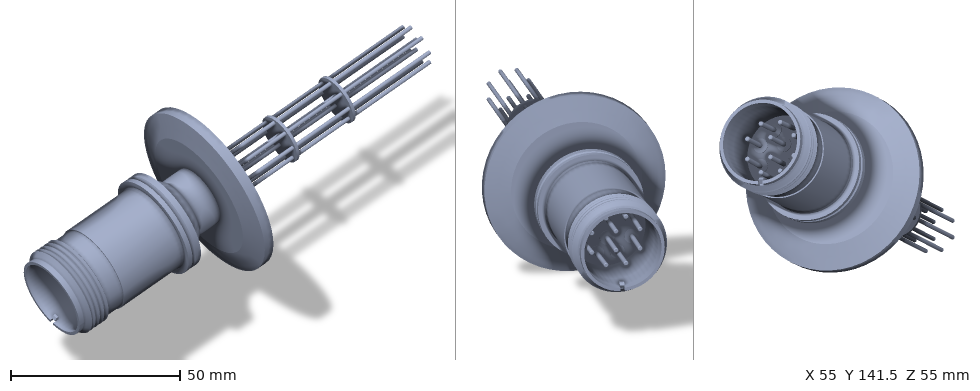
import cadquery as cq
import math

OVERALL_LENGTH = 141.5

LIP_END = 1.8
FIRST_CREST = 3.5
SECOND_CREST = 4.8
THREAD_PITCH = 1.7
FULL_TURNS = 3
THREAD_RUNOUT = 0.4
SHOULDER = 16.3
COLLAR_START = 39.3
COLLAR_END = 44.1
LIP_RADIUS = 12.7
RELIEF_RADIUS = 13.5
ROOT_RADIUS = 13.6
CREST_RADIUS = 14.3
BODY_RADIUS = 13.9
COLLAR_RADIUS = 16.1

BEVEL_LENGTH = 0.8
BEVEL_HEIGHT = 0.3
GROOVE_POSITION = 41.3
GROOVE_FRONT_WIDTH = 0.4
GROOVE_BACK_WIDTH = 0.8
GROOVE_DEPTH = 1.0

NECK_RADIUS = 9.6
CONE_RADIUS = 14.7
CONE_END = COLLAR_END + CONE_RADIUS - NECK_RADIUS
CONE_FILLET = 0.7
FLANGE_FRONT = 57.2
FLANGE_BACK = 62.5
FLANGE_DIAMETER = 55.0
FLANGE_RADIUS = FLANGE_DIAMETER / 2
FLANGE_FACE_RADIUS = 20.0
FLANGE_BEVEL_ANGLE = 15

BORE_RADIUS = 11.7
BORE_DEPTH = 19.8
KEY_WIDTH = 1.4
KEY_TOP = -10.5
KEY_RIDGE = -11.2
KEY_BOTTOM = -12.3
KEY_TIP = 0.5
KEY_BACK = 2.0

RING_COUNT = 8
PIN_RADIUS = 0.7
PIN_TIP = 8.2
PIN_TIP_CHAMFER = 0.21
PIN_BASE_RING = 8.2
PIN_TIP_RING = 7.9
INNER_PIN_OFFSET = 3.0
SEAL_DIAMETER = 4.4
SEAL_RING = 8.0
SEAL_HEIGHT = 0.3

WIRE_RADIUS = 0.64
WIRE_RING = 6.5
INNER_WIRE_OFFSET = 2.5
SPACER_RADIUS = 7.9
SPACER_THICKNESS = 1.0
SPACER_CENTRES = (88.8, 110.6)

EMBED = 0.7
NOTCH_CLEARANCE = 0.7


def thread_outline():
    """Points (radius, Y) from the lip bevel to the relief behind the last crest."""
    crests = [FIRST_CREST] + [SECOND_CREST + turn * THREAD_PITCH for turn in range(FULL_TURNS + 1)]
    points = [(LIP_RADIUS, LIP_END), (CREST_RADIUS, crests[0])]
    for previous, crest in zip(crests, crests[1:]):
        points.append((ROOT_RADIUS, (previous + crest) / 2))
        points.append((CREST_RADIUS, crest))
    points.append((RELIEF_RADIUS, crests[-1] + THREAD_RUNOUT))
    return points


def make_shell():
    """Solid of revolution for the shell and collar, with the socket bored out."""
    outline = [(0, 0), (LIP_RADIUS, 0)] + thread_outline() + [
        (RELIEF_RADIUS, SHOULDER),
        (BODY_RADIUS, SHOULDER),
        (BODY_RADIUS, COLLAR_START - BEVEL_LENGTH),
        (BODY_RADIUS + BEVEL_HEIGHT, COLLAR_START),
        (COLLAR_RADIUS, COLLAR_START),
        (COLLAR_RADIUS, GROOVE_POSITION - GROOVE_FRONT_WIDTH),
        (COLLAR_RADIUS - GROOVE_DEPTH, GROOVE_POSITION),
        (COLLAR_RADIUS, GROOVE_POSITION + GROOVE_BACK_WIDTH),
        (COLLAR_RADIUS, COLLAR_END),
        (0, COLLAR_END),
    ]
    shell = cq.Workplane("XY").polyline(outline).close().revolve(360, (0, 0), (0, 1))
    return shell.cut(rod((0, 0), (0, 0), 0, BORE_DEPTH, BORE_RADIUS))


def make_adapter():
    """Solid of revolution for the cone, neck and flange, with a filleted cone-to-neck corner."""
    half_turn = math.radians(45) / 2
    tangent = CONE_FILLET * math.tan(half_turn)
    cone_offset = tangent * math.sqrt(0.5)
    arc_middle = (
        NECK_RADIUS + CONE_FILLET * (1 - math.cos(half_turn)),
        CONE_END + tangent - CONE_FILLET * math.sin(half_turn),
    )
    bevel = (FLANGE_RADIUS - FLANGE_FACE_RADIUS) * math.tan(math.radians(FLANGE_BEVEL_ANGLE))
    profile = (
        cq.Workplane("XY")
        .moveTo(0, COLLAR_END)
        .lineTo(CONE_RADIUS, COLLAR_END)
        .lineTo(NECK_RADIUS + cone_offset, CONE_END - cone_offset)
        .threePointArc(arc_middle, (NECK_RADIUS, CONE_END + tangent))
        .lineTo(NECK_RADIUS, FLANGE_FRONT)
        .lineTo(FLANGE_FACE_RADIUS, FLANGE_FRONT)
        .lineTo(FLANGE_RADIUS, FLANGE_FRONT + bevel)
        .lineTo(FLANGE_RADIUS, FLANGE_BACK)
        .lineTo(0, FLANGE_BACK)
        .close()
    )
    return profile.revolve(360, (0, 0), (0, 1))


def rod(start_xz, end_xz, start_y, end_y, radius):
    """Round bar between two (X, Z) places at the given Y positions."""
    start = cq.Vector(start_xz[0], start_y, start_xz[1])
    axis = cq.Vector(end_xz[0], end_y, end_xz[1]) - start
    return cq.Workplane(cq.Solid.makeCylinder(radius, axis.Length, start, axis))


def contact_layout(ring_radius, inner_offset):
    """(X, Z) places of the ring contacts, then of the two inner ones."""
    step = 2 * math.pi / RING_COUNT
    angles = [(index + 0.5) * step for index in range(RING_COUNT)]
    ring = [(ring_radius * math.cos(angle), ring_radius * math.sin(angle)) for angle in angles]
    return ring + [(0, inner_offset), (0, -inner_offset)]


def make_contacts():
    """Pins standing on raised seals in the socket; the ring pins lean slightly inward."""
    seals = contact_layout(SEAL_RING, INNER_PIN_OFFSET)
    bases = contact_layout(PIN_BASE_RING, INNER_PIN_OFFSET)
    tips = contact_layout(PIN_TIP_RING, INNER_PIN_OFFSET)
    parts = []
    for seal, base, tip in zip(seals, bases, tips):
        parts.append(rod(seal, seal, BORE_DEPTH + EMBED, BORE_DEPTH - SEAL_HEIGHT, SEAL_DIAMETER / 2))
        pin = rod(base, tip, BORE_DEPTH + EMBED, PIN_TIP, PIN_RADIUS)
        parts.append(pin.edges("<Y").chamfer(PIN_TIP_CHAMFER))
    return parts


def make_wires():
    """Straight wires out of the flange back, through the spacer discs."""
    parts = []
    for place in contact_layout(WIRE_RING, INNER_WIRE_OFFSET):
        parts.append(rod(place, place, FLANGE_BACK - EMBED, OVERALL_LENGTH, WIRE_RADIUS))
    for centre in SPACER_CENTRES:
        front = centre - SPACER_THICKNESS / 2
        parts.append(rod((0, 0), (0, 0), front, front + SPACER_THICKNESS, SPACER_RADIUS))
    return parts


def make_rim_notch():
    """Slot through the bottom of the lip, in front of the key."""
    depth = LIP_RADIUS + NOTCH_CLEARANCE + KEY_TOP
    notch = cq.Workplane("XY").box(KEY_WIDTH, LIP_END, depth, centered=(True, False, False))
    return notch.translate((0, 0, -LIP_RADIUS - NOTCH_CLEARANCE))


def make_key():
    """Short key at the bottom of the socket with a 45 degree wedge-shaped front."""
    outline = [
        (KEY_TIP, KEY_RIDGE),
        (KEY_TIP + KEY_TOP - KEY_RIDGE, KEY_TOP),
        (KEY_BACK, KEY_TOP),
        (KEY_BACK, KEY_BOTTOM),
        (KEY_TIP + KEY_RIDGE - KEY_BOTTOM, KEY_BOTTOM),
    ]
    return cq.Workplane("YZ").polyline(outline).close().extrude(KEY_WIDTH / 2, both=True)


result = make_shell().union(make_adapter()).cut(make_rim_notch()).union(make_key())
for part in make_contacts() + make_wires():
    result = result.union(part)